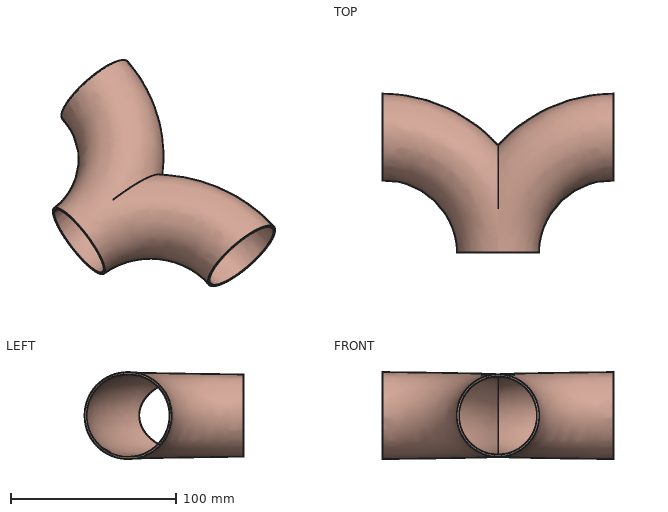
import cadquery as cq

bend_radius = 70.0
inlet_diameter = 50.0
outlet_diameter = 52.9
wall = 1.4


def tapered_bend(offset):
    """Solid quarter bend from the inlet to the +X outlet, shrunk radially by offset."""
    start = cq.Vector(0, 0, 0)
    end = cq.Vector(bend_radius, bend_radius, 0)
    inlet_direction = cq.Vector(0, 1, 0)
    outlet_direction = cq.Vector(1, 0, 0)
    centerline = cq.Edge.makeTangentArc(start, inlet_direction, end)
    inlet = cq.Wire.makeCircle(inlet_diameter / 2 - offset, start, inlet_direction)
    outlet = cq.Wire.makeCircle(outlet_diameter / 2 - offset, end, outlet_direction)
    return cq.Workplane(cq.Solid.sweep_multi([inlet, outlet], centerline))


keep_size = 4 * bend_radius
positive_x_side = cq.Workplane("XY").box(
    keep_size, keep_size, keep_size, centered=(False, True, True)
)

branch = tapered_bend(0).cut(tapered_bend(wall)).intersect(positive_x_side)
result = branch.union(branch.mirror("YZ"))